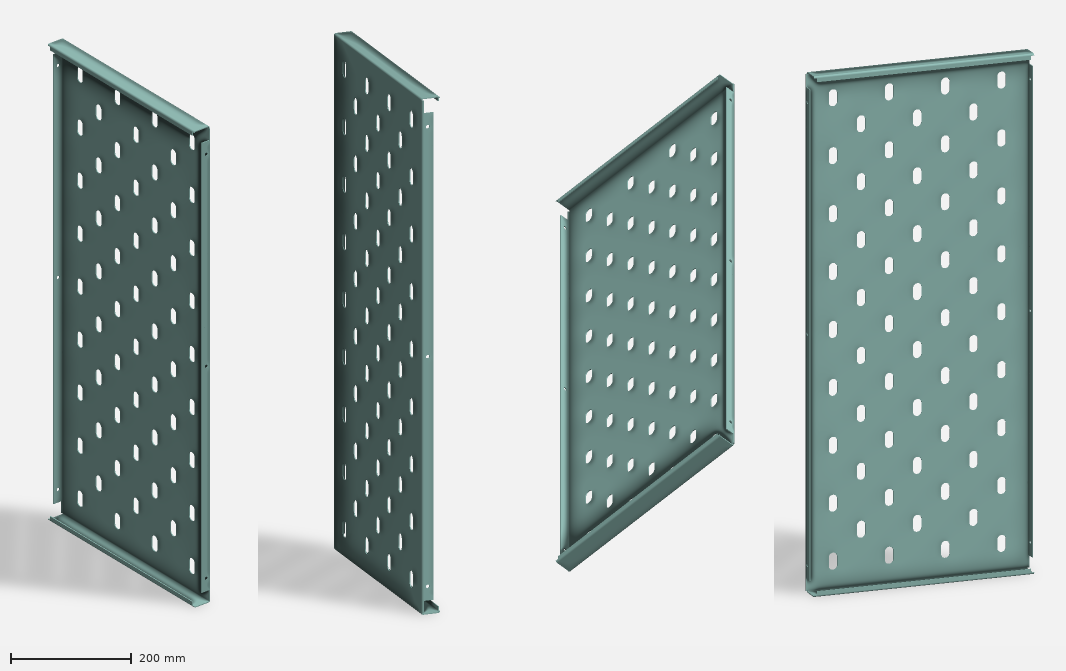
import cadquery as cq

length = 898.0
width = 398.0
depth = 33.0

sheet = 1.6
bend_radius = 3.2
inner_bend_radius = bend_radius - sheet

side_flange_depth = 20.0
side_flange_setback = 25.0

lip_height = 10.0
lip_setback = 5.0

slot_span = 799.0
slot_gaps = 8
slot_pitch = slot_span / slot_gaps
slot_length = 30.0
slot_width = 15.0
main_row_count = 4
offset_row_count = 3
side_hole_diameter = 6.0
side_hole_height = side_flange_depth / 2

back = depth / 2
front = -depth / 2
fold_end = back - bend_radius


def block(x_size, z_size, y_from, y_to, x=0, z=0):
    """Box centred on (x, z) that fills the given Y range."""
    middle = (y_from + y_to) / 2
    return cq.Workplane("XY").box(x_size, y_to - y_from, z_size).translate((x, middle, z))


def side_channel():
    """Panel with a flange folded forward along each long side."""
    channel_length = length - 2 * bend_radius
    flange_front = back - side_flange_depth
    outer = block(width, channel_length, flange_front, back)
    outer = outer.edges("|Z and >Y").fillet(bend_radius)
    inner = block(width - 2 * sheet, channel_length, flange_front, back - sheet)
    inner = inner.edges("|Z and >Y").fillet(inner_bend_radius)
    channel = outer.cut(inner)

    trim_length = side_flange_setback - bend_radius
    for end in (-1, 1):
        trim_z = end * (length / 2 - bend_radius - trim_length / 2)
        channel = channel.cut(block(width, trim_length, flange_front, fold_end, z=trim_z))
    return channel


def end_channel():
    """Panel with a lipped flange folded forward along each short end."""
    channel_width = width - 2 * bend_radius
    outer = block(channel_width, length, front, back)
    outer = outer.edges("|X").fillet(bend_radius)
    inner = block(channel_width, length - 2 * sheet, front + sheet, back - sheet)
    inner = inner.edges("|X").fillet(inner_bend_radius)
    opening = block(channel_width, length - 2 * lip_height, front, front + sheet)
    channel = outer.cut(inner).cut(opening)

    trim_height = length - 2 * bend_radius
    for side in (-1, 1):
        trim_x = side * (channel_width - lip_setback) / 2
        channel = channel.cut(block(lip_setback, trim_height, front, front + sheet, x=trim_x))
    return channel


def slots():
    """Upright slots in staggered rows of four and three."""
    centres = []
    for row in range(2 * slot_gaps + 1):
        count = main_row_count if row % 2 == 0 else offset_row_count
        z = row * slot_pitch / 2 - slot_span / 2
        for column in range(count):
            x = (column - (count - 1) / 2) * slot_pitch
            centres.append((x, z))
    plane = cq.Workplane("XZ", origin=(0, back, 0)).pushPoints(centres)
    return plane.slot2D(slot_length, slot_width, 90).extrude(sheet)


def side_holes():
    """Holes through both side flanges, at the middle and at the outermost slot rows."""
    hole_y = back - side_hole_height
    centres = [(hole_y, z) for z in (-slot_span / 2, 0, slot_span / 2)]
    plane = cq.Workplane("YZ").pushPoints(centres)
    return plane.circle(side_hole_diameter / 2).extrude(width / 2, both=True)


result = side_channel().union(end_channel()).cut(slots()).cut(side_holes())